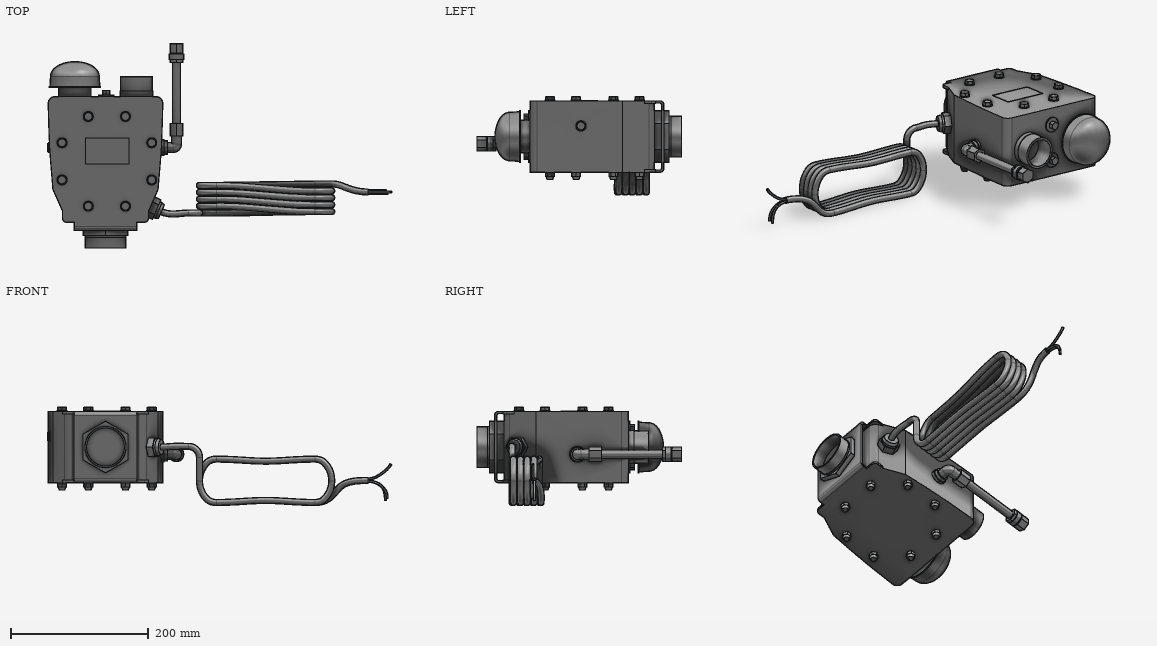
import cadquery as cq
import math


HALF_HEIGHT = 52.0
HALF_WIDTH = 84.0
SIDE_BULGE_X = 82.0
KINK = (76.5, -135.0)
COVER_CORNER = (62.5, -166.5)
BOX_FRONT_Y = -181.0
COVER_FRONT_Y = -183.0
BACK_FILLET = 10.0
BOX_FRONT_FILLET = 13.0
COVER_FRONT_FILLET = 6.0
COVER_THICKNESS = 4.0

PLATE_HALF_WIDTH = 45.5
PLATE_FRONT_Y = -195.0
PLATE_THICKNESS = 3.5
PLATE_BEND_RADIUS = 6.0
PLATE_COVER_OVERLAP = 5.0

PORT_HEX_FLATS = 65.0
PORT_HEX_FRONT_Y = -202.5
PORT_NECK_DIAMETER = 60.0
PORT_NECK_LENGTH = 2.5
PORT_DIAMETER = 59.5
PORT_BORE = 55.0
PORT_FRONT_Y = -220.5

BOLT_COUNT = 8
BOLT_CENTRE = (2.0, -94.5)
BOLT_CIRCLE_RADIUS = 70.5
BOLT_FLATS = 11.5
BOLT_FLANGE_DIAMETER = 14.5
BOLT_FLANGE_THICKNESS = 1.0
BOLT_HEAD_HEIGHT = 6.0
NUT_CAP_HEIGHT = 4.5
NUT_CAP_TIP_DIAMETER = 8.0

NAMEPLATE_CENTRE = (2.5, -79.0)
NAMEPLATE_SIZE = (63.5, 37.5)
NAMEPLATE_THICKNESS = 0.5

DOME_X = -44.5
DOME_NECK_DIAMETER = 47.5
DOME_BASE_Y = 13.5
DOME_RIM_RADIUS = 37.5
DOME_RIM_THICKNESS = 1.5
DOME_SKIRT_RADIUS = 36.5
DOME_SHOULDER_RADIUS = 35.5
DOME_SHOULDER_Y = 29.5
DOME_TOP_Y = 51.0

STUB_X = 45.0
STUB_NECK_DIAMETER = 47.5
STUB_NECK_LENGTH = 8.0
STUB_DIAMETER = 46.5
STUB_BORE = 40.0
STUB_LENGTH = 29.0

BACK_SCREW_X = 1.0
BACK_SCREW_Z = 27.0
BACK_WASHER_DIAMETER = 22.0
BACK_WASHER_THICKNESS = 2.0
BACK_SCREW_FLATS = 10.5
BACK_SCREW_TOP_Y = 9.0

PLUG_Y = -74.0
PLUG_Z = 15.5
PLUG_DIAMETER = 15.0
PLUG_TIP_DIAMETER = 11.5
PLUG_TIP_X = -84.5
PLUG_CONE_LENGTH = 2.0

ELBOW_Y = -74.0
ELBOW_Z = -10.5
HOSE_X = 103.5
ELBOW_DIAMETER = 15.0
ELBOW_BEND_RADIUS = 5.0
ELBOW_FLANGE_DIAMETER = 23.0
ELBOW_FLANGE_X = 85.5
ELBOW_COLLAR_DIAMETER = 20.0
ELBOW_COLLAR_X = 90.5
HOSE_DIAMETER = 12.0
HOSE_HEX_FLATS = 18.5
HOSE_COLLAR_DIAMETER = 21.5
HOSE_GROOVE_DIAMETER = 17.0
LOWER_HEX_Y = (-57.0, -39.0)
UPPER_HEX_START_Y = 49.5
HOSE_COLLAR_Y = (54.0, 62.0)
HOSE_NUT_Y = (63.5, 77.0)

GLAND_Y = -160.5
GLAND_HEX_FLATS = 27.0
GLAND_HEX_LENGTH = 10.0
GLAND_COLLAR_DIAMETER = 25.0
GLAND_COLLAR_LENGTH = 3.0
GLAND_TIP_DIAMETER = 21.5
GLAND_TIP_LENGTH = 4.5

CABLE_DIAMETER = 9.0
COIL_LEFT_X = 137.0
COIL_RIGHT_X = 329.5
COIL_TOP_Z = -17.5
COIL_BOTTOM_Z = -81.0
COIL_END_LENGTH = 24.5
COIL_SAG = 3.0
COIL_START_Y = -169.5
COIL_PITCH = 10.0
BOTTOM_RUN_STEP = 2.0
FULL_TURNS = 4
ENTRY_Z = 1.0
ENTRY_BEND_RADIUS = 16.0
ENTRY_DIP = (99.0, -171.0, ENTRY_Z)
TAIL_MIDDLE = (341.0, -129.0, -58.5)
CABLE_END = (382.5, -139.0, -48.5)

WIRE_DIAMETER = 3.1
WIRE_OFFSET = 2.0
WIRE_ROOT_DEPTH = 2.5
UP_WIRE_DIRECTION = cq.Vector(0.6, 0, 1)
UP_WIRE_MIDDLE = (404.5, -37.0)
UP_WIRE_TIP = (416.0, -25.0)
DOWN_WIRE_MIDDLE = (402.5, -57.0)
DOWN_WIRE_TIPS = ((410.5, -74.5), (408.0, -77.5))


def facing_back(x, y, z):
    """Workplane whose normal is +Y and whose local x is +Z."""
    return cq.Workplane(cq.Plane((x, y, z), xDir=(0, 0, 1), normal=(0, 1, 0)))


def facing_right(x, y, z):
    """Workplane whose normal is +X."""
    return cq.Workplane(cq.Plane((x, y, z), xDir=(0, 1, 0), normal=(1, 0, 0)))


def hexagon(workplane, flats, length):
    """Hexagonal prism with two corners on the local x axis."""
    return workplane.polygon(6, flats / math.cos(math.pi / 6)).extrude(length)


def cylinder(workplane, diameter, length):
    return workplane.circle(diameter / 2).extrude(length)


def flank_x(y):
    """Half width of the slanted front flank at a given y."""
    slope = (KINK[0] - COVER_CORNER[0]) / (KINK[1] - COVER_CORNER[1])
    return KINK[0] + slope * (y - KINK[1])


def outline(front_points):
    """Closed box outline; front_points run along the +X half from the kink to the front."""
    mid_y = KINK[1] / 2
    mirrored = [(-x, y) for x, y in reversed(front_points)]
    return (
        cq.Workplane("XY")
        .moveTo(-HALF_WIDTH, 0)
        .lineTo(HALF_WIDTH, 0)
        .threePointArc((SIDE_BULGE_X, mid_y), KINK)
        .polyline(front_points + mirrored, includeCurrent=True)
        .lineTo(-KINK[0], KINK[1])
        .threePointArc((-SIDE_BULGE_X, mid_y), (-HALF_WIDTH, 0))
        .close()
    )


def make_box():
    front_corner = (flank_x(BOX_FRONT_Y), BOX_FRONT_Y)
    box = outline([front_corner]).extrude(HALF_HEIGHT, both=True)
    box = box.edges("|Z").edges(">Y").fillet(BACK_FILLET)
    return box.edges("|Z").edges("<Y").fillet(BOX_FRONT_FILLET)


def make_cover():
    """Upper cover plate."""
    front_points = [COVER_CORNER, (COVER_CORNER[0], COVER_FRONT_Y)]
    cover = (
        outline(front_points)
        .extrude(COVER_THICKNESS)
        .translate((0, 0, HALF_HEIGHT - COVER_THICKNESS))
    )
    cover = cover.edges("|Z").edges(">Y").fillet(BACK_FILLET)
    return cover.edges("|Z").edges("<Y").fillet(COVER_FRONT_FILLET)


def make_front_plate():
    """Channel bent from the covers across the front, open at both sides."""
    depth = COVER_FRONT_Y + PLATE_COVER_OVERLAP - PLATE_FRONT_Y
    width = 2 * PLATE_HALF_WIDTH
    channel = cq.Workplane("XY").box(width, depth, 2 * HALF_HEIGHT, centered=(True, False, True))
    channel = channel.edges("|X").edges("<Y").fillet(PLATE_BEND_RADIUS)
    inside = cq.Workplane("XY").box(
        width,
        depth,
        2 * (HALF_HEIGHT - PLATE_THICKNESS),
        centered=(True, False, True),
    )
    inside = inside.edges("|X").edges("<Y").fillet(PLATE_BEND_RADIUS - PLATE_THICKNESS)
    channel = channel.cut(inside.translate((0, PLATE_THICKNESS, 0)))
    return channel.translate((0, PLATE_FRONT_Y, 0))


def make_front_port():
    neck_front_y = PORT_HEX_FRONT_Y - PORT_NECK_LENGTH
    port = hexagon(facing_back(0, PORT_HEX_FRONT_Y, 0), PORT_HEX_FLATS, BOX_FRONT_Y - PORT_HEX_FRONT_Y)
    port = port.union(cylinder(facing_back(0, neck_front_y, 0), PORT_NECK_DIAMETER, PORT_NECK_LENGTH))
    port = port.union(
        cylinder(facing_back(0, PORT_FRONT_Y, 0), PORT_DIAMETER, neck_front_y - PORT_FRONT_Y)
    )
    bore_depth = PORT_HEX_FRONT_Y - PORT_FRONT_Y
    return port.cut(cylinder(facing_back(0, PORT_FRONT_Y, 0), PORT_BORE, bore_depth))


def make_bolt(index):
    """Bolt head above the housing and cap nut below it; every second bolt is turned 30 degrees."""
    head = cylinder(cq.Workplane("XY"), BOLT_FLANGE_DIAMETER, BOLT_FLANGE_THICKNESS)
    hexagonal = hexagon(cq.Workplane("XY"), BOLT_FLATS, BOLT_HEAD_HEIGHT)
    bevel = (
        cq.Workplane("XY")
        .circle(BOLT_FLATS / 2 + BOLT_HEAD_HEIGHT)
        .workplane(offset=BOLT_HEAD_HEIGHT)
        .circle(BOLT_FLATS / 2)
        .loft()
    )
    head = head.union(hexagonal.intersect(bevel)).translate((0, 0, HALF_HEIGHT))

    nut = hexagon(cq.Workplane("XY"), BOLT_FLATS, -BOLT_HEAD_HEIGHT)
    cap = (
        cq.Workplane("XY", origin=(0, 0, -BOLT_HEAD_HEIGHT))
        .circle(BOLT_FLATS / 2)
        .workplane(offset=-NUT_CAP_HEIGHT)
        .circle(NUT_CAP_TIP_DIAMETER / 2)
        .loft()
    )
    nut = nut.union(cap).translate((0, 0, -HALF_HEIGHT))

    angle = (index + 0.5) * 2 * math.pi / BOLT_COUNT
    x = BOLT_CENTRE[0] + BOLT_CIRCLE_RADIUS * math.cos(angle)
    y = BOLT_CENTRE[1] + BOLT_CIRCLE_RADIUS * math.sin(angle)
    turn = 0 if index % 2 else 30
    return [piece.rotate((0, 0, 0), (0, 0, 1), turn).translate((x, y, 0)) for piece in (head, nut)]


def make_nameplate():
    return (
        cq.Workplane("XY", origin=(*NAMEPLATE_CENTRE, HALF_HEIGHT))
        .rect(*NAMEPLATE_SIZE)
        .extrude(NAMEPLATE_THICKNESS)
    )


def make_dome():
    """Mushroom cap on its neck, revolved about the neck axis."""
    rim_top_y = DOME_BASE_Y + DOME_RIM_THICKNESS
    rise = DOME_TOP_Y - DOME_SHOULDER_Y
    profile = (
        cq.Workplane("XY")
        .lineTo(DOME_NECK_DIAMETER / 2, 0)
        .lineTo(DOME_NECK_DIAMETER / 2, DOME_BASE_Y)
        .lineTo(DOME_RIM_RADIUS, DOME_BASE_Y)
        .lineTo(DOME_RIM_RADIUS, rim_top_y)
        .lineTo(DOME_SKIRT_RADIUS, rim_top_y)
        .lineTo(DOME_SHOULDER_RADIUS, DOME_SHOULDER_Y)
        .parametricCurve(
            lambda t: (
                DOME_SHOULDER_RADIUS * math.cos(t * math.pi / 2),
                DOME_SHOULDER_Y + rise * math.sin(t * math.pi / 2),
            ),
            makeWire=False,
        )
        .lineTo(0, 0)
        .close()
    )
    return profile.revolve(360, (0, 0), (0, 1)).translate((DOME_X, 0, 0))


def make_stub():
    stub = cylinder(facing_back(STUB_X, 0, 0), STUB_NECK_DIAMETER, STUB_NECK_LENGTH)
    barrel_length = STUB_LENGTH - STUB_NECK_LENGTH
    stub = stub.union(cylinder(facing_back(STUB_X, STUB_NECK_LENGTH, 0), STUB_DIAMETER, barrel_length))
    return stub.cut(cylinder(facing_back(STUB_X, 0, 0), STUB_BORE, STUB_LENGTH))


def make_back_screw(z):
    base = facing_back(BACK_SCREW_X, 0, z)
    washer = cylinder(base, BACK_WASHER_DIAMETER, BACK_WASHER_THICKNESS)
    return washer.union(hexagon(base, BACK_SCREW_FLATS, BACK_SCREW_TOP_Y))


def make_plug():
    """Plug through the -X side with a bevelled tip."""
    inner_x = -KINK[0]
    shank_x = PLUG_TIP_X + PLUG_CONE_LENGTH
    shank = cylinder(facing_right(shank_x, PLUG_Y, PLUG_Z), PLUG_DIAMETER, inner_x - shank_x)
    tip = (
        facing_right(PLUG_TIP_X, PLUG_Y, PLUG_Z)
        .circle(PLUG_TIP_DIAMETER / 2)
        .workplane(offset=PLUG_CONE_LENGTH)
        .circle(PLUG_DIAMETER / 2)
        .loft()
    )
    return shank.union(tip)


def make_elbow_bend():
    """Quarter bend tighter than the pipe radius, so its section is cut off at the bend axis."""
    axis_x = HOSE_X - ELBOW_BEND_RADIUS
    axis_y = ELBOW_Y + ELBOW_BEND_RADIUS
    pipe_radius = ELBOW_DIAMETER / 2
    axis_half_chord = math.sqrt(pipe_radius**2 - ELBOW_BEND_RADIUS**2)
    section = (
        cq.Workplane("XZ", origin=(axis_x, axis_y, ELBOW_Z))
        .moveTo(0, -axis_half_chord)
        .threePointArc((ELBOW_BEND_RADIUS + pipe_radius, 0), (0, axis_half_chord))
        .close()
    )
    return section.revolve(90, (0, 0), (0, -1))


def make_hose():
    """Elbow out of the +X side, then the hose running back along +Y to its nut."""
    inner_x = KINK[0]
    root = facing_right(inner_x, ELBOW_Y, ELBOW_Z)
    hose = make_elbow_bend()
    side_runs = [
        (ELBOW_DIAMETER, HOSE_X - ELBOW_BEND_RADIUS),
        (ELBOW_FLANGE_DIAMETER, ELBOW_FLANGE_X),
        (ELBOW_COLLAR_DIAMETER, ELBOW_COLLAR_X),
    ]
    for diameter, end_x in side_runs:
        hose = hose.union(cylinder(root, diameter, end_x - inner_x))

    round_runs = [
        (ELBOW_DIAMETER, ELBOW_Y + ELBOW_BEND_RADIUS, LOWER_HEX_Y[0]),
        (HOSE_DIAMETER, LOWER_HEX_Y[1], UPPER_HEX_START_Y),
        (HOSE_COLLAR_DIAMETER, *HOSE_COLLAR_Y),
        (HOSE_GROOVE_DIAMETER, HOSE_COLLAR_Y[1], HOSE_NUT_Y[0]),
    ]
    for diameter, start_y, end_y in round_runs:
        hose = hose.union(cylinder(facing_back(HOSE_X, start_y, ELBOW_Z), diameter, end_y - start_y))

    hex_runs = [LOWER_HEX_Y, (UPPER_HEX_START_Y, HOSE_COLLAR_Y[0]), HOSE_NUT_Y]
    for start_y, end_y in hex_runs:
        hose = hose.union(hexagon(facing_back(HOSE_X, start_y, ELBOW_Z), HOSE_HEX_FLATS, end_y - start_y))
    return hose


flank_direction = cq.Vector(KINK[0] - COVER_CORNER[0], KINK[1] - COVER_CORNER[1], 0).normalized()
gland_axis = cq.Vector(flank_direction.y, -flank_direction.x, 0)
gland_root = cq.Vector(flank_x(GLAND_Y), GLAND_Y, 0)
gland_length = GLAND_HEX_LENGTH + GLAND_COLLAR_LENGTH + GLAND_TIP_LENGTH
gland_tip = gland_root + gland_axis * gland_length


def along_gland(distance):
    return cq.Workplane(cq.Plane(gland_root + gland_axis * distance, flank_direction, gland_axis))


def make_gland():
    gland = hexagon(along_gland(0), GLAND_HEX_FLATS, GLAND_HEX_LENGTH)
    gland = gland.union(
        cylinder(along_gland(GLAND_HEX_LENGTH), GLAND_COLLAR_DIAMETER, GLAND_COLLAR_LENGTH)
    )
    tip = (
        along_gland(GLAND_HEX_LENGTH + GLAND_COLLAR_LENGTH)
        .circle(GLAND_COLLAR_DIAMETER / 2)
        .workplane(offset=GLAND_TIP_LENGTH)
        .circle(GLAND_TIP_DIAMETER / 2)
        .loft()
    )
    return gland.union(tip)


def make_housing():
    cover = make_cover()
    features = [
        cover,
        cover.mirror("XY"),
        make_front_plate(),
        make_front_port(),
        make_nameplate(),
        make_dome(),
        make_stub(),
        make_back_screw(BACK_SCREW_Z),
        make_back_screw(-BACK_SCREW_Z),
        make_plug(),
        make_hose(),
        make_gland(),
    ]
    for index in range(BOLT_COUNT):
        features.extend(make_bolt(index))
    body = make_box()
    for feature in features:
        body = body.union(feature)
    return body


RIGHT = cq.Vector(1, 0, 0)
LEFT = cq.Vector(-1, 0, 0)
UP = cq.Vector(0, 0, 1)
DOWN = cq.Vector(0, 0, -1)

coil_middle_z = (COIL_TOP_Z + COIL_BOTTOM_Z) / 2
coil_half_height = (COIL_TOP_Z - COIL_BOTTOM_Z) / 2
run_left_x = COIL_LEFT_X + COIL_END_LENGTH
run_right_x = COIL_RIGHT_X - COIL_END_LENGTH


def curve(points, start_direction, end_direction):
    vectors = [cq.Vector(*point) for point in points]
    return cq.Edge.makeSpline(vectors, tangents=[start_direction, end_direction])


def coil_corner(run_x, start_angle, y, directions):
    """Quarter of an ellipse, counter-clockwise from start_angle in degrees as seen from -Y."""
    points = []
    for eighth in range(3):
        angle = math.radians(start_angle + eighth * 45)
        x = run_x + COIL_END_LENGTH * math.cos(angle)
        z = coil_middle_z + coil_half_height * math.sin(angle)
        points.append((x, y, z))
    return curve(points, *directions)


def left_lower_corner(y):
    return coil_corner(run_left_x, 180, y, (DOWN, RIGHT))


def coil_run(start, end, inward, direction):
    """Long run along X whose middle dips into the coil; inward is the signed dip in Z."""
    middle = ((start[0] + end[0]) / 2, (start[1] + end[1]) / 2, start[2] + inward)
    return curve([start, middle, end], direction, direction)


def bottom_run(y):
    start = (run_left_x, y, COIL_BOTTOM_Z)
    end = (run_right_x, y + BOTTOM_RUN_STEP, COIL_BOTTOM_Z)
    return coil_run(start, end, COIL_SAG, RIGHT)


def top_run(y, next_y):
    start = (run_right_x, y, COIL_TOP_Z)
    end = (run_left_x, next_y, COIL_TOP_Z)
    return coil_run(start, end, -COIL_SAG, LEFT)


def cable_entry():
    """From the gland to the top of the first descent into the coil."""
    bend_start_x = COIL_LEFT_X - ENTRY_BEND_RADIUS
    bend_mid = ENTRY_BEND_RADIUS * math.sqrt(0.5)
    bend_points = [
        cq.Vector(bend_start_x, COIL_START_Y, ENTRY_Z),
        cq.Vector(bend_start_x + bend_mid, COIL_START_Y, ENTRY_Z - ENTRY_BEND_RADIUS + bend_mid),
        cq.Vector(COIL_LEFT_X, COIL_START_Y, ENTRY_Z - ENTRY_BEND_RADIUS),
    ]
    lead_points = [gland_tip.toTuple(), ENTRY_DIP, bend_points[0].toTuple()]
    lead = curve(lead_points, gland_axis, RIGHT)
    bend = cq.Edge.makeThreePointArc(*bend_points)
    drop = cq.Edge.makeLine(bend_points[2], cq.Vector(COIL_LEFT_X, COIL_START_Y, coil_middle_z))
    return [lead, bend, drop]


def coil_turn(y):
    right_y = y + BOTTOM_RUN_STEP
    next_y = y + COIL_PITCH
    return [
        left_lower_corner(y),
        bottom_run(y),
        coil_corner(run_right_x, -90, right_y, (RIGHT, UP)),
        coil_corner(run_right_x, 0, right_y, (UP, LEFT)),
        top_run(right_y, next_y),
        coil_corner(run_left_x, 90, next_y, (LEFT, DOWN)),
    ]


def cable_tail(y):
    """Last half turn, leaving the coil towards the cable end."""
    tail_points = [(run_right_x, y + BOTTOM_RUN_STEP, COIL_BOTTOM_Z), TAIL_MIDDLE, CABLE_END]
    return [left_lower_corner(y), bottom_run(y), curve(tail_points, RIGHT, RIGHT)]


def make_wire(path_points, end_direction):
    start = path_points[0]
    path = cq.Workplane(cq.Wire.assembleEdges([curve(path_points, RIGHT, end_direction)]))
    return facing_right(*start).circle(WIRE_DIAMETER / 2).sweep(path)


def make_cable():
    edges = cable_entry()
    for turn in range(FULL_TURNS):
        edges.extend(coil_turn(COIL_START_Y + turn * COIL_PITCH))
    edges.extend(cable_tail(COIL_START_Y + FULL_TURNS * COIL_PITCH))
    path = cq.Workplane(cq.Wire.assembleEdges(edges))
    cable = along_gland(gland_length).circle(CABLE_DIAMETER / 2).sweep(path)

    end_x, end_y, end_z = CABLE_END
    root_x = end_x - WIRE_ROOT_DEPTH
    up_path = [
        (root_x, end_y, end_z + WIRE_OFFSET),
        (UP_WIRE_MIDDLE[0], end_y, UP_WIRE_MIDDLE[1]),
        (UP_WIRE_TIP[0], end_y, UP_WIRE_TIP[1]),
    ]
    cable = cable.union(make_wire(up_path, UP_WIRE_DIRECTION))
    for side, tip in zip((-1, 1), DOWN_WIRE_TIPS):
        y = end_y + side * WIRE_OFFSET
        down_path = [
            (root_x, y, end_z - WIRE_OFFSET / 2),
            (DOWN_WIRE_MIDDLE[0], y, DOWN_WIRE_MIDDLE[1]),
            (tip[0], y, tip[1]),
        ]
        cable = cable.union(make_wire(down_path, DOWN))
    return cable


housing = make_housing()
cable = make_cable()
result = cq.Compound.makeCompound([housing.val(), cable.val()])